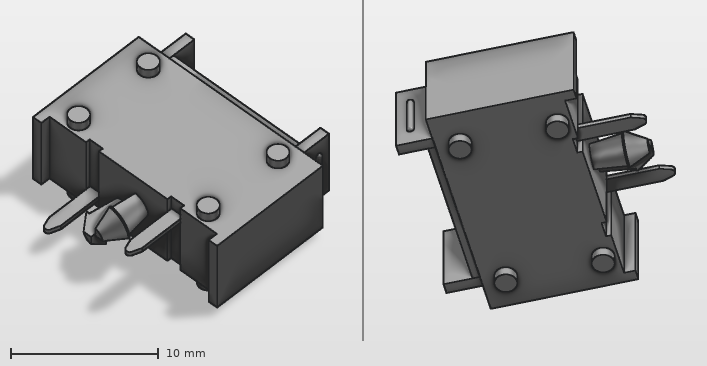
import cadquery as cq
import math


HOUSING_WIDTH = 17.3
HOUSING_DEPTH = 10.35
HOUSING_HEIGHT = 6.09
LEG_LENGTH = 0.8
LEG_WIDTH = 0.8
FRONT_FACE_Y = LEG_LENGTH - HOUSING_DEPTH

PEG_DIAMETER = 1.55
PEG_HEIGHT = 0.76
PEG_SPACING_X = 12.18
PEG_SPACING_Y = 6.82
REAR_PEG_INSET = 1.73

STEM_BASE_RADIUS = 1.45
STEM_END_RADIUS = 1.82
STEM_LENGTH = 2.4
BARB_RADIUS = 2.0
BARB_LAND = 0.12
BARB_TIP_RADIUS = 0.93
SNAP_LENGTH = 3.91
SNAP_GAP = 0.4

TERMINAL_OFFSET_X = 3.82
TERMINAL_OFFSET_Z = 1.71
TERMINAL_WIDTH = 1.1
TERMINAL_THICKNESS = 0.38
TERMINAL_REACH = 4.62
TERMINAL_TAPER_LENGTH = 0.95
TERMINAL_NOSE_LENGTH = 0.19
TERMINAL_NOSE_WIDTH = 0.57
SLOT_WIDTH = 1.21
SLOT_DEPTH = 0.36
SLOT_FLOOR_Y = FRONT_FACE_Y + SLOT_DEPTH

FLAP_OUTER_X = 6.73
FLAP_THICKNESS = 0.81
FLAP_INNER_X = FLAP_OUTER_X - FLAP_THICKNESS
FLAP_HEIGHT = 5.6
FLAP_REACH = 2.6
RIB_RADIUS = 0.26
RIB_LENGTH = 3.24
RIB_INSET = 1.02

CROSSBAR_DEPTH = 0.55


def box(x_range, y_range, height):
    """Box over the given X and Y ranges, centred on Z = 0."""
    (x0, x1), (y0, y1) = x_range, y_range
    return cq.Workplane("XY").box(x1 - x0, y1 - y0, height).translate(((x0 + x1) / 2, (y0 + y1) / 2, 0))


def make_block():
    """Block with two legs at the front corners and a slot for each terminal."""
    half_width = HOUSING_WIDTH / 2
    inner_leg = half_width - LEG_WIDTH
    block = box((-half_width, half_width), (-HOUSING_DEPTH, 0), HOUSING_HEIGHT)
    block = block.cut(box((-inner_leg, inner_leg), (-HOUSING_DEPTH, FRONT_FACE_Y), HOUSING_HEIGHT))
    for side in (-1, 1):
        slot_x = side * TERMINAL_OFFSET_X
        slot_range = (slot_x - SLOT_WIDTH / 2, slot_x + SLOT_WIDTH / 2)
        block = block.cut(box(slot_range, (FRONT_FACE_Y, SLOT_FLOOR_Y), HOUSING_HEIGHT))
    return block


def make_pegs():
    """Cylinders through the block that stand out of its top and bottom faces."""
    length = HOUSING_HEIGHT + 2 * PEG_HEIGHT
    return (
        cq.Workplane("XY", origin=(0, -REAR_PEG_INSET - PEG_SPACING_Y / 2, -length / 2))
        .rarray(PEG_SPACING_X, PEG_SPACING_Y, 2, 2)
        .circle(PEG_DIAMETER / 2)
        .extrude(length)
    )


def make_snap_prongs():
    """Two opposite quarters of a barbed stem, set apart by a cross-shaped gap."""
    barb_y = FRONT_FACE_Y - STEM_LENGTH
    tip_y = FRONT_FACE_Y - SNAP_LENGTH
    stem = (
        cq.Workplane("XY")
        .moveTo(0, FRONT_FACE_Y)
        .lineTo(STEM_BASE_RADIUS, FRONT_FACE_Y)
        .lineTo(STEM_END_RADIUS, barb_y)
        .lineTo(BARB_RADIUS, barb_y)
        .lineTo(BARB_RADIUS, barb_y - BARB_LAND)
        .lineTo(BARB_TIP_RADIUS, tip_y)
        .lineTo(0, tip_y)
        .close()
        .revolve(360, (0, 0, 0), (0, 1, 0))
    )
    quarter_centre = (SNAP_GAP + BARB_RADIUS) / 2
    kept = cq.Workplane("XZ", origin=(0, FRONT_FACE_Y, 0))
    kept = kept.pushPoints([(quarter_centre, quarter_centre), (-quarter_centre, -quarter_centre)])
    kept = kept.rect(BARB_RADIUS, BARB_RADIUS).extrude(SNAP_LENGTH)
    return stem.intersect(kept)


def make_rib(side):
    """Upright round bar with domed ends, half sunk in a flap's outer face."""
    dome_z = RIB_LENGTH / 2 - RIB_RADIUS
    half_diagonal = RIB_RADIUS * math.sqrt(0.5)
    return (
        cq.Workplane("XZ")
        .moveTo(0, -RIB_LENGTH / 2)
        .threePointArc((half_diagonal, -dome_z - half_diagonal), (RIB_RADIUS, -dome_z))
        .lineTo(RIB_RADIUS, dome_z)
        .threePointArc((half_diagonal, dome_z + half_diagonal), (0, RIB_LENGTH / 2))
        .close()
        .revolve(360, (0, 0, 0), (0, 1, 0))
        .translate((side * FLAP_OUTER_X, FLAP_REACH - RIB_INSET, 0))
    )


def make_flaps():
    """Two plates standing out of the rear face, each with a rib on its outer side."""
    flaps = make_rib(-1).union(make_rib(1))
    for side in (-1, 1):
        x_range = sorted((side * FLAP_OUTER_X, side * FLAP_INNER_X))
        flaps = flaps.union(box(x_range, (0, FLAP_REACH), FLAP_HEIGHT))
    return flaps


def make_housing():
    return make_block().union(make_pegs()).union(make_snap_prongs()).union(make_flaps())


def make_crossbar():
    """Plain bar that fills the space between the flaps, against the rear face."""
    return box((-FLAP_INNER_X, FLAP_INNER_X), (0, CROSSBAR_DEPTH), FLAP_HEIGHT)


def make_terminal(side):
    """Flat pin from its slot floor to a tapered, rounded nose; side is -1 or 1."""
    half_width = TERMINAL_WIDTH / 2
    half_nose = TERMINAL_NOSE_WIDTH / 2
    tip_y = FRONT_FACE_Y - TERMINAL_REACH
    nose_y = tip_y + TERMINAL_NOSE_LENGTH
    shoulder_y = tip_y + TERMINAL_TAPER_LENGTH
    return (
        cq.Workplane("XY")
        .moveTo(-half_width, SLOT_FLOOR_Y)
        .lineTo(-half_width, shoulder_y)
        .lineTo(-half_nose, nose_y)
        .threePointArc((0, tip_y), (half_nose, nose_y))
        .lineTo(half_width, shoulder_y)
        .lineTo(half_width, SLOT_FLOOR_Y)
        .close()
        .extrude(TERMINAL_THICKNESS / 2, both=True)
        .translate((side * TERMINAL_OFFSET_X, 0, side * TERMINAL_OFFSET_Z))
    )


housing = make_housing()
crossbar = make_crossbar()
terminals = [make_terminal(side) for side in (-1, 1)]

result = cq.Compound.makeCompound([
    housing.val(),
    crossbar.val(),
    *[terminal.val() for terminal in terminals],
])